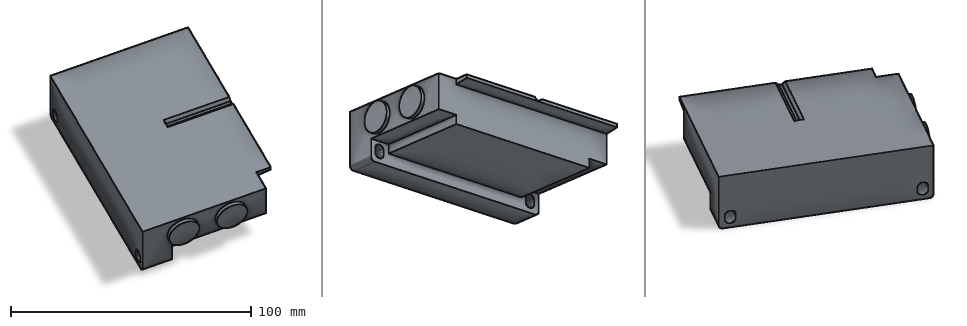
import cadquery as cq
import math

overall_length = 94.3
overall_depth = 63.1
overall_height = 26.0

boss_diameter = 14.0
boss_height = 1.7
boss_axis_below_top = 8.3
boss_back_offsets = (22.8, 44.8)

body_length = overall_length - boss_height
flange_thickness = 13.5
flange_corner_radius = 2.0
body_underside = 9.8

lip_overhang = 6.6
lip_tip_thickness = 1.6
lip_root_thickness = 2.5
lip_end_gap = 9.6
body_back = overall_depth - lip_overhang

pad_underside = 5.7
pad_end_inset = lip_end_gap

slot_width = 4.7
slot_height = 6.2
first_slot_center = 5.0
slot_spacing = 83.0
slot_center_height = 5.3

groove_width = 4.2
groove_floor_width = 1.4
groove_wall_angle = 40
groove_wall_run = (groove_width - groove_floor_width) / 2
groove_depth = groove_wall_run * math.tan(math.radians(groove_wall_angle))
groove_length = 30.0
groove_center = 43.5


def box(x_range, y_range, z_range):
    """Box spanning the given (start, end) pairs."""
    spans = [end - start for start, end in (x_range, y_range, z_range)]
    corner = (x_range[0], y_range[0], z_range[0])
    return cq.Workplane("XY").box(*spans, centered=False).translate(corner)


def make_flange():
    """Full-height front plate with rounded lower corners."""
    flange = box((0, body_length), (0, flange_thickness), (0, overall_height))
    return flange.edges("|Y and <Z").fillet(flange_corner_radius)


def make_body():
    """Main block behind the flange, with the pad on its underside."""
    depth_range = (flange_thickness, body_back)
    block = box((0, body_length), depth_range, (body_underside, overall_height))
    pad_range = (pad_end_inset, body_length - pad_end_inset)
    pad = box(pad_range, depth_range, (pad_underside, body_underside))
    return block.union(pad)


def make_lip():
    """Overhanging lip that thins towards its free edge and stops short of the +X end."""
    profile = [
        (body_back, overall_height),
        (overall_depth, overall_height),
        (overall_depth, overall_height - lip_tip_thickness),
        (body_back, overall_height - lip_root_thickness),
    ]
    return cq.Workplane("YZ").polyline(profile).close().extrude(body_length - lip_end_gap)


def make_bosses():
    """Short round bosses standing on the +X end face."""
    centers = [(overall_depth - offset, overall_height - boss_axis_below_top) for offset in boss_back_offsets]
    end_face = cq.Workplane("YZ").workplane(offset=body_length)
    return end_face.pushPoints(centers).circle(boss_diameter / 2).extrude(boss_height)


def make_slots():
    """Cutters for the two upright slots through the flange."""
    centers = [(x, slot_center_height) for x in (first_slot_center, first_slot_center + slot_spacing)]
    front_face = cq.Workplane("XZ").pushPoints(centers)
    return front_face.slot2D(slot_height, slot_width, 90).extrude(-flange_thickness)


def make_groove():
    """Cutter for the top groove, open at the lip edge."""
    half_width = groove_width / 2
    half_floor = groove_floor_width / 2
    profile = [
        (-half_width, 0),
        (-half_floor, -groove_depth),
        (half_floor, -groove_depth),
        (half_width, 0),
    ]
    lip_edge = cq.Workplane("XZ", origin=(groove_center, overall_depth, overall_height))
    return lip_edge.polyline(profile).close().extrude(groove_length)


housing = make_flange().union(make_body()).union(make_lip()).union(make_bosses())
result = housing.cut(make_slots()).cut(make_groove())